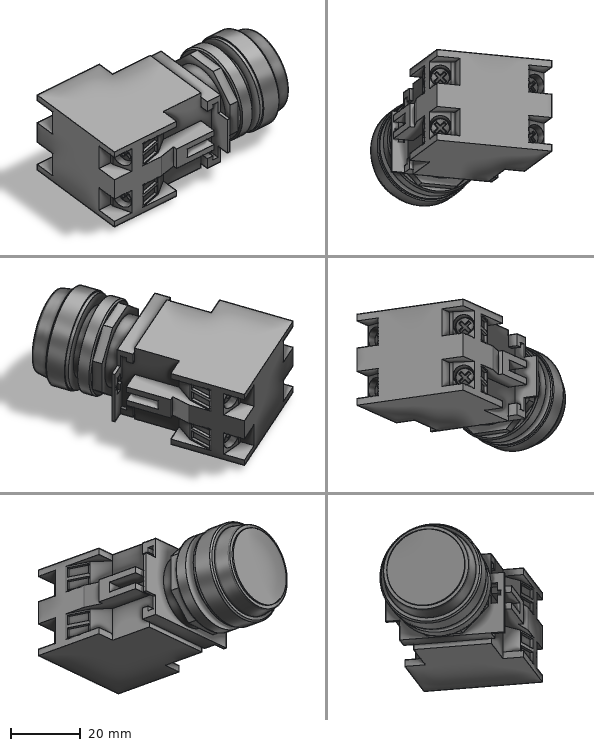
import cadquery as cq
import math


BLOCK_WIDTH = 35.0
BLOCK_HEIGHT = 27.0
WIDE_LENGTH = 23.05
NARROW_WIDTH = 23.0
NARROW_END = 37.0
HALF_WIDTH = BLOCK_WIDTH / 2
NARROW_HALF = NARROW_WIDTH / 2

ARM_HEIGHT = 7.0
ARM_SLOT_HEIGHT = 3.1
ARM_SLOT_LENGTH = 9.95
ARM_RAMP_DEPTH = 1.4
ARM_RAMP_END = 17.4

RECESS_HEIGHT = 8.0
RECESS_CENTER_Z = (ARM_HEIGHT + RECESS_HEIGHT) / 2
WIRE_FACE_OUTER_Y = 10.5
WIRE_FACE_INNER_Y = 17.95
WIRE_FACE_SETBACK = 2.1
WINDOW_LENGTH = 6.7
WINDOW_HEIGHT = 3.0
WINDOW_PITCH = 4.0
WINDOW_DEPTH = 1.0

SCREW_RECESS_WIDTH = 7.0
SCREW_LEDGE_WIDTH = 1.1
SCREW_FLOOR_Y = 4.35
SCREW_PAD_OUTER_Y = 6.5
SCREW_BORE_DIAMETER = 6.0
SCREW_BORE_DEPTH = 3.2
SCREW_HEAD_DIAMETER = 5.3
SCREW_HEAD_HEIGHT = 1.0
CROSS_LENGTH = 4.0
CROSS_WIDTH = 1.0

NECK_WIDTH = 27.0
NECK_HEIGHT = 24.0
NECK_END = 41.95
NECK_OFFSET = 0.9
NECK_LEFT = NECK_OFFSET - NECK_WIDTH / 2
TONGUE_HEIGHT = 17.0
TONGUE_HEAD_HEIGHT = 19.9
TONGUE_HEAD_START = 39.05
PLATE_WIDTH = 35.0
PLATE_THICKNESS = 1.0
PLATE_OFFSET = 1.05
PLATE_HALF_HEIGHT = 6.0
PLATE_START = NECK_END - PLATE_THICKNESS
PLATE_LEFT = PLATE_OFFSET - PLATE_WIDTH / 2
PLATE_RIGHT = PLATE_OFFSET + PLATE_WIDTH / 2
PLATE_WINDOW_LEFT = -14.5
PLATE_WINDOW_HEIGHT = 6.1
PLATE_SLOT_LEFT = -15.45
PLATE_SLOT_HEIGHT = 1.5

BARREL_RADIUS = 11.0
NUT_SIDES = 8
NUT_FLATS = 26.0
NUT_START = 46.5
RING_RADIUS = 14.55
RING_START = 49.5
RING_END = 53.5
RING_CHAMFER = 0.5
SEAL_START = 56.4
BEZEL_DIAMETER = 30.0
BEZEL_RADIUS = BEZEL_DIAMETER / 2
BEZEL_START = 57.4
BEZEL_END = 63.5
BEZEL_CHAMFER = 0.5
BUTTON_BASE_RADIUS = 13.5
BUTTON_TAPER_START = 63.9
BUTTON_TIP_RADIUS = 12.75
BUTTON_EDGE_RADIUS = 12.55
BUTTON_EDGE_START = 68.1
BUTTON_EDGE_END = 68.5
CAP_RADIUS = 11.5
TOTAL_LENGTH = 69.0


def box(x, y, z):
    """Box spanning the given (low, high) pair along each axis."""
    return (
        cq.Workplane("XY")
        .box(x[1] - x[0], y[1] - y[0], z[1] - z[0], centered=False)
        .translate((x[0], y[0], z[0]))
    )


def prism_z(points, height, center_z):
    """Outline in X and Y, extruded to a height centred on center_z."""
    return cq.Workplane("XY", origin=(0, 0, center_z - height / 2)).polyline(points).close().extrude(height)


def both_sides(shape):
    return shape.union(shape.mirror("YZ"))


def above_and_below(shape):
    return shape.union(shape.mirror("XY"))


def centered(size):
    return (-size / 2, size / 2)


def make_arm():
    """Left clip arm with an open slot in its outer face."""
    arm = box((-HALF_WIDTH, -NARROW_HALF), (WIDE_LENGTH, NARROW_END), centered(ARM_HEIGHT))
    slot = box(
        (-HALF_WIDTH, -NARROW_HALF),
        (NARROW_END - ARM_SLOT_LENGTH, NARROW_END),
        centered(ARM_SLOT_HEIGHT),
    )
    return arm.cut(slot)


def make_arm_ramp():
    """Wedge removed from the left side just behind the arm."""
    points = [
        (-HALF_WIDTH, WIDE_LENGTH),
        (-HALF_WIDTH + ARM_RAMP_DEPTH, WIDE_LENGTH),
        (-HALF_WIDTH, ARM_RAMP_END),
    ]
    return prism_z(points, ARM_HEIGHT, 0)


def make_wire_recess():
    """Upper left wire entry: two sloping faces, the outer one with two windows."""
    inner_x = -HALF_WIDTH + WIRE_FACE_SETBACK
    points = [
        (-HALF_WIDTH, WIRE_FACE_OUTER_Y),
        (inner_x, WIRE_FACE_INNER_Y),
        (-NARROW_HALF, WIDE_LENGTH),
        (-HALF_WIDTH, WIDE_LENGTH),
    ]
    recess = prism_z(points, RECESS_HEIGHT, RECESS_CENTER_Z)
    face_length = WIRE_FACE_INNER_Y - WIRE_FACE_OUTER_Y
    tilt = math.degrees(math.atan2(WIRE_FACE_SETBACK, face_length))
    middle = (-HALF_WIDTH + WIRE_FACE_SETBACK / 2, WIRE_FACE_OUTER_Y + face_length / 2, RECESS_CENTER_Z)
    windows = (
        cq.Workplane("YZ")
        .rarray(0.7, WINDOW_PITCH, 1, 2)
        .rect(WINDOW_LENGTH, WINDOW_HEIGHT)
        .extrude(WINDOW_DEPTH)
        .rotate((0, 0, 0), (0, 0, 1), -tilt)
        .translate(middle)
    )
    return recess.union(windows)


def make_screw_recess():
    """Upper left corner recess with a tilted pad and a sunken cross-head screw."""
    wall_x = -HALF_WIDTH + SCREW_RECESS_WIDTH
    pad_x = wall_x - SCREW_LEDGE_WIDTH
    points = [
        (-HALF_WIDTH, 0),
        (wall_x, 0),
        (wall_x, SCREW_FLOOR_Y),
        (pad_x, SCREW_FLOOR_Y),
        (-HALF_WIDTH, SCREW_PAD_OUTER_Y),
    ]
    recess = prism_z(points, RECESS_HEIGHT, RECESS_CENTER_Z)
    rise = SCREW_PAD_OUTER_Y - SCREW_FLOOR_Y
    run = pad_x + HALF_WIDTH
    inward = (rise, run, 0)
    middle = ((pad_x - HALF_WIDTH) / 2, (SCREW_PAD_OUTER_Y + SCREW_FLOOR_Y) / 2, RECESS_CENTER_Z)
    pad = cq.Plane(origin=middle, xDir=(0, 0, 1), normal=inward)
    bore = cq.Workplane(pad).circle(SCREW_BORE_DIAMETER / 2).extrude(SCREW_BORE_DEPTH)
    bore_floor = cq.Workplane(pad).workplane(offset=SCREW_BORE_DEPTH)
    head = bore_floor.circle(SCREW_HEAD_DIAMETER / 2).extrude(-SCREW_HEAD_HEIGHT)
    for angle in (45, -45):
        bar = bore_floor.transformed(rotate=(0, 0, angle)).rect(CROSS_LENGTH, CROSS_WIDTH)
        head = head.cut(bar.extrude(-SCREW_HEAD_HEIGHT))
    return recess.union(bore.cut(head))


def make_contact_block():
    block = box(centered(BLOCK_WIDTH), (0, WIDE_LENGTH), centered(BLOCK_HEIGHT))
    narrow = box(centered(NARROW_WIDTH), (WIDE_LENGTH, NARROW_END), centered(BLOCK_HEIGHT))
    block = block.union(narrow).union(both_sides(make_arm()))
    block = block.cut(both_sides(make_arm_ramp()))
    block = block.cut(both_sides(above_and_below(make_wire_recess())))
    return block.cut(both_sides(above_and_below(make_screw_recess())))


def make_tongue(x):
    """T-shaped tongue that joins the contact block to the neck."""
    stem = box(x, (NARROW_END, TONGUE_HEAD_START), centered(TONGUE_HEIGHT))
    head = box(x, (TONGUE_HEAD_START, PLATE_START), centered(TONGUE_HEAD_HEIGHT))
    return stem.union(head)


def make_neck():
    """Neck block and flange plate; the tongue fills the middle of a through T-slot."""
    neck_right = NECK_LEFT + NECK_WIDTH
    neck = box((NECK_LEFT, neck_right), (NARROW_END, NECK_END), centered(NECK_HEIGHT))
    plate_y = (PLATE_START, NECK_END)
    left_plate = box((PLATE_LEFT, NECK_LEFT), plate_y, (-NECK_HEIGHT / 2, PLATE_HALF_HEIGHT))
    right_plate = box((neck_right, PLATE_RIGHT), plate_y, (-PLATE_HALF_HEIGHT, PLATE_HALF_HEIGHT))
    neck = neck.union(left_plate).union(right_plate)
    neck = neck.cut(make_tongue((NECK_LEFT, neck_right)))
    neck = neck.cut(box((PLATE_WINDOW_LEFT, NECK_LEFT), plate_y, centered(PLATE_WINDOW_HEIGHT)))
    neck = neck.cut(box((PLATE_SLOT_LEFT, -NARROW_HALF), plate_y, centered(PLATE_SLOT_HEIGHT)))
    return neck.union(make_tongue(centered(NARROW_WIDTH)))


def make_head():
    """Barrel, clamping ring, bezel and button as one turned profile of (radius, Y)."""
    profile = [
        (0, NECK_END),
        (BARREL_RADIUS, NECK_END),
        (BARREL_RADIUS, RING_START),
        (RING_RADIUS - RING_CHAMFER, RING_START),
        (RING_RADIUS, RING_START + RING_CHAMFER),
        (RING_RADIUS, RING_END),
        (BARREL_RADIUS, RING_END),
        (BARREL_RADIUS, SEAL_START),
        (RING_RADIUS, SEAL_START),
        (RING_RADIUS, BEZEL_START),
        (BEZEL_RADIUS, BEZEL_START),
        (BEZEL_RADIUS, BEZEL_END - BEZEL_CHAMFER),
        (BEZEL_RADIUS - BEZEL_CHAMFER, BEZEL_END),
        (BUTTON_BASE_RADIUS, BEZEL_END),
        (BUTTON_BASE_RADIUS, BUTTON_TAPER_START),
        (BUTTON_TIP_RADIUS, BUTTON_EDGE_START),
        (BUTTON_EDGE_RADIUS, BUTTON_EDGE_END),
        (CAP_RADIUS, BUTTON_EDGE_END),
        (CAP_RADIUS, TOTAL_LENGTH),
        (0, TOTAL_LENGTH),
    ]
    return cq.Workplane("XY").polyline(profile).close().revolve(360, (0, 0, 0), (0, 1, 0))


def make_nut():
    """Octagonal nut with flats facing X and Z."""
    corner_diameter = NUT_FLATS / math.cos(math.pi / NUT_SIDES)
    nut = cq.Workplane("XZ").polygon(NUT_SIDES, corner_diameter).extrude(NUT_START - RING_START)
    return nut.rotate((0, 0, 0), (0, 1, 0), 180 / NUT_SIDES).translate((0, NUT_START, 0))


result = make_contact_block().union(make_neck()).union(make_head()).union(make_nut())